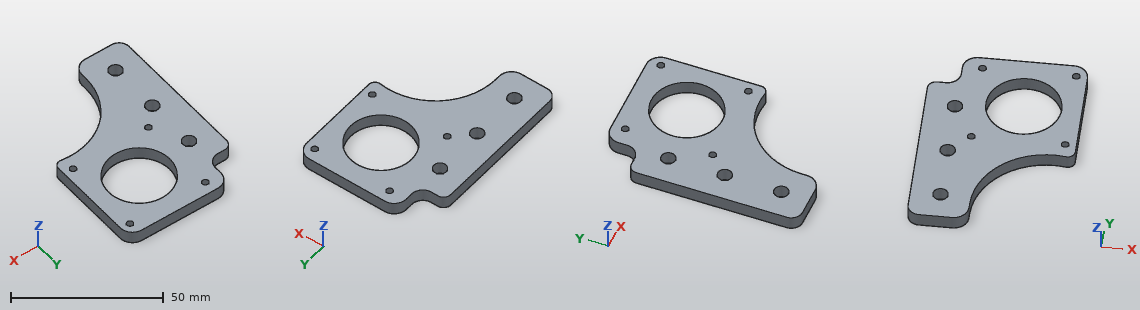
import cadquery as cq
import math

width = 51.6
length = 72.7
thickness = 5.0

leg_width = 20.0
step_width = 10.3
step_depth = 12.5
scoop_radius = 25.0
scoop_center_y = 6.9
scoop_center_x = leg_width + scoop_radius

large_corner_radius = 5.0
step_inner_radius = 4.5
leg_outer_radius = 4.0
shoulder_radius = 3.0
scoop_tip_radius = 2.5

motor_center = (32.4, length - 20.15)
motor_bore_diameter = 25.0
screw_spacing = 31.0
screw_diameter = 2.5

mount_diameter = 5.0
mount_edge_offset = leg_width / 2
mount_spacing = 20.0
mount_count = 3


def scoop_point(x):
    """Point on the upper half of the scoop circle at the given x."""
    rise = math.sqrt(scoop_radius**2 - (x - scoop_center_x) ** 2)
    return (x, scoop_center_y + rise)


def round_corner(body, corner, radius):
    """Fillet the vertical edge standing at an outline corner."""
    nearest = cq.selectors.NearestToPointSelector((*corner, thickness / 2))
    return body.edges("|Z").edges(nearest).fillet(radius)


def make_plate():
    shoulder_y = length - step_depth
    scoop_tip = scoop_point(width)
    body = (
        cq.Workplane("XY")
        .moveTo(0, 0)
        .lineTo(leg_width, 0)
        .lineTo(leg_width, scoop_center_y)
        .threePointArc(scoop_point((leg_width + scoop_center_x) / 2), scoop_tip)
        .lineTo(width, length)
        .lineTo(step_width, length)
        .lineTo(step_width, shoulder_y)
        .lineTo(0, shoulder_y)
        .close()
        .extrude(thickness)
    )
    corners = [
        ((0, 0), leg_outer_radius),
        ((leg_width, 0), large_corner_radius),
        (scoop_tip, scoop_tip_radius),
        ((width, length), large_corner_radius),
        ((step_width, length), large_corner_radius),
        ((step_width, shoulder_y), step_inner_radius),
        ((0, shoulder_y), shoulder_radius),
    ]
    for corner, radius in corners:
        body = round_corner(body, corner, radius)
    return body


def through_holes(centers, diameter):
    return cq.Workplane("XY").pushPoints(centers).circle(diameter / 2).extrude(thickness)


half_spacing = screw_spacing / 2
screw_centers = [
    (motor_center[0] + side_x * half_spacing, motor_center[1] + side_y * half_spacing)
    for side_x in (-1, 1)
    for side_y in (-1, 1)
]
mount_centers = [
    (mount_edge_offset, mount_edge_offset + index * mount_spacing) for index in range(mount_count)
]

result = (
    make_plate()
    .cut(through_holes([motor_center], motor_bore_diameter))
    .cut(through_holes(screw_centers, screw_diameter))
    .cut(through_holes(mount_centers, mount_diameter))
)